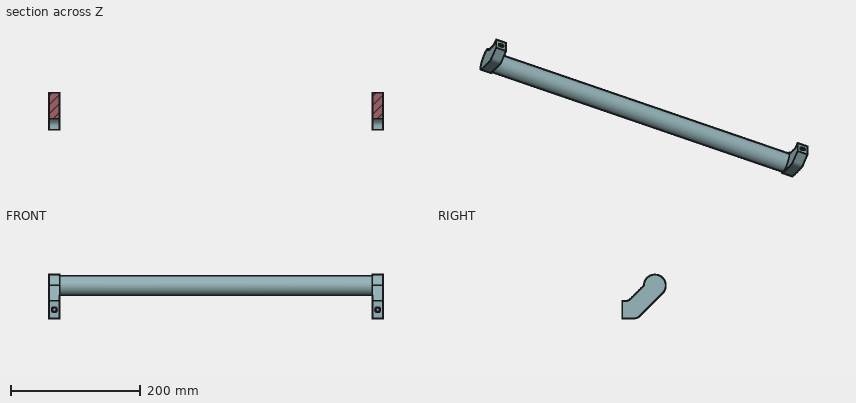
import cadquery as cq
import math

length = 517.0
depth = 67.5
height = 68.0
bracket_width = 16.5
head_diameter = 34.0
tube_diameter = 30.5
foot_height = 27.5
inner_bend_radius = 10.0
outer_bend_radius = 13.0
hole_diameter = 6.0
hole_depth = 15.5
countersink_diameter = 8.5
countersink_angle = 90

head_radius = head_diameter / 2
foot_y = head_radius - depth
foot_bottom = head_radius - height
foot_top = foot_bottom + foot_height
foot_middle = foot_bottom + foot_height / 2

tangent_offset = head_radius * math.sqrt(0.5)
upper_bend_y = -head_radius + foot_top
lower_bend_y = foot_bottom + 2 * tangent_offset


def make_bracket(start_x):
    """Cranked arm with a round head and a countersunk blind hole in its foot."""
    arm = (
        cq.Workplane("YZ", origin=(start_x, 0, 0))
        .moveTo(-head_radius, 0)
        .lineTo(upper_bend_y, foot_top)
        .lineTo(foot_y, foot_top)
        .lineTo(foot_y, foot_bottom)
        .lineTo(lower_bend_y, foot_bottom)
        .lineTo(tangent_offset, -tangent_offset)
        .threePointArc((0, head_radius), (-head_radius, 0))
        .close()
        .extrude(bracket_width)
    )
    middle_x = start_x + bracket_width / 2
    upper_bend = cq.selectors.NearestToPointSelector((middle_x, upper_bend_y, foot_top))
    lower_bend = cq.selectors.NearestToPointSelector((middle_x, lower_bend_y, foot_bottom))
    arm = arm.edges(upper_bend).fillet(inner_bend_radius)
    arm = arm.edges(lower_bend).fillet(outer_bend_radius)
    return (
        arm.faces("<Y")
        .workplane(origin=(middle_x, foot_y, foot_middle))
        .cskHole(hole_diameter, countersink_diameter, countersink_angle, hole_depth)
    )


tube = cq.Workplane("YZ").circle(tube_diameter / 2).extrude(length)

result = tube
for start_x in (0, length - bracket_width):
    result = result.union(make_bracket(start_x))